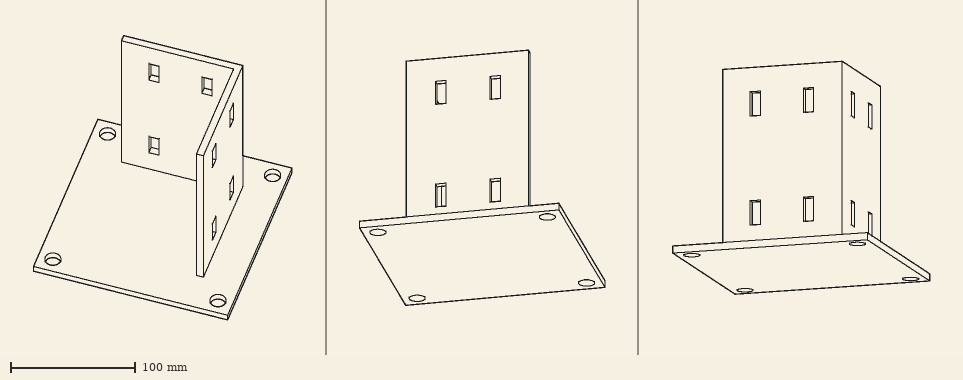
import cadquery as cq

plate_side = 165.0
plate_thickness = 6.0
bolt_hole_diameter = 13.0
bolt_hole_pitch = 140.2

angle_height = 150.0
wall_length = 101.3
wall_thickness = 6.0
angle_corner = 51.2

slot_width = 8.5
slot_height = 20.0
slot_pitch_across = 45.0
slot_pitch_up = 90.0

angle_middle_z = plate_thickness + angle_height / 2
wall_middle = angle_corner - wall_thickness / 2
wall_length_centre = angle_corner - wall_length / 2


def make_plate():
    return (
        cq.Workplane("XY")
        .rect(plate_side, plate_side)
        .rect(bolt_hole_pitch, bolt_hole_pitch, forConstruction=True)
        .vertices()
        .circle(bolt_hole_diameter / 2)
        .extrude(plate_thickness)
    )


def make_slotted_wall():
    """Wall along X, on the +Y side; its slots are centred on the plate."""
    wall = cq.Workplane("XY").box(wall_length, wall_thickness, angle_height)
    wall = wall.translate((wall_length_centre, wall_middle, angle_middle_z))
    slot = (
        cq.Workplane("XY")
        .box(slot_width, 2 * wall_thickness, slot_height)
        .translate((0, wall_middle, angle_middle_z))
    )
    for across in (-slot_pitch_across / 2, slot_pitch_across / 2):
        for up in (-slot_pitch_up / 2, slot_pitch_up / 2):
            wall = wall.cut(slot.translate((across, 0, up)))
    return wall


back_wall = make_slotted_wall()
side_wall = back_wall.mirror("XZ").rotate((0, 0, 0), (0, 0, 1), 90)

result = make_plate().union(back_wall).union(side_wall)